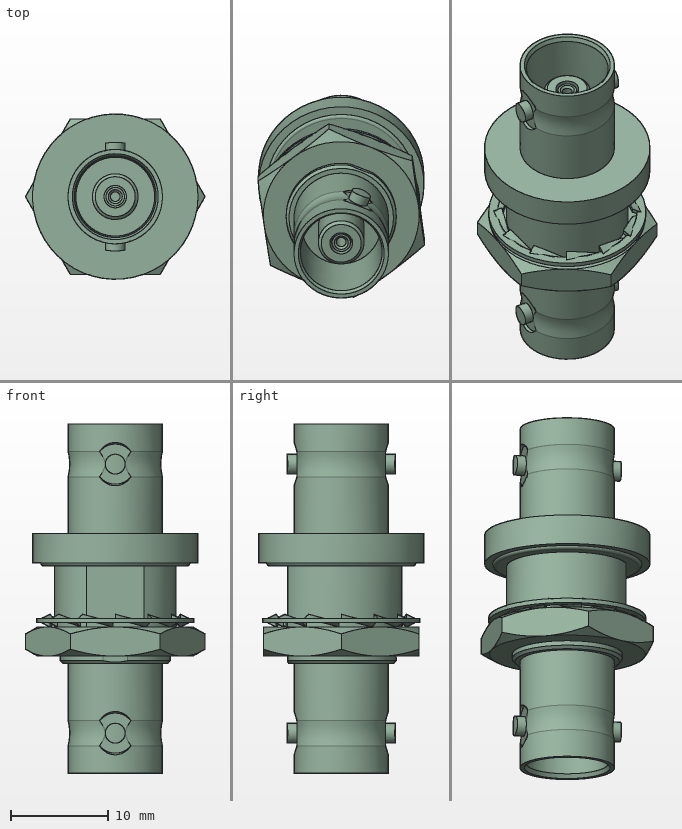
import cadquery as cq
import math


total_length = 35.9
barrel_radius = 4.85

flange_radius = 8.5
flange_bottom = 21.62
flange_top = 24.65
lip_radius = 7.67
lip_height = 0.32

thread_radius = 6.25
thread_flat_offset = 5.52
thread_end_radius = 5.66
thread_end_z = 11.27
thread_end_chamfer = 0.3

nut_across_flats = 16.0
nut_bottom = 12.04
nut_top = 15.04
nut_chamfer_angle = 30.0
nut_sides = 6

washer_outer_radius = 8.08
washer_inner_radius = 7.15
washer_bottom = 15.48
washer_thickness = 0.45
tooth_count = 12
tooth_inner_distance = 6.5
tooth_half_angle = 14.0
tooth_rise = 0.42
tooth_overlap = 0.3
tooth_root_thickness = 0.35
tooth_bite = 0.02

stud_depth = 4.13
stud_radius = 1.02
stud_tip_radius = 5.58
groove_half_width = 1.3
groove_depth = 0.16
spot_face_radius = 2.06
spot_face_wall_angle = 30.0
spot_face_offset = 4.57

mouth_radius = 4.41
mouth_chamfer_depth = 0.45
bore_top_radius = 4.2
bore_floor_radius = 4.05
bore_depth = 8.5
insulator_radius = 2.35
insulator_face_radius = 2.05
insulator_chamfer_height = 0.3
insulator_face_depth = 3.2
contact_recess_radius = 1.15
contact_recess_depth = 2.0
contact_radius = 0.95
contact_face_drop = 0.2
contact_hole_radius = 0.5
contact_mouth_radius = 0.72
contact_countersink = 0.22
contact_hole_depth = 5.0


def disc(radius, z_low, z_high):
    return cq.Workplane("XY").workplane(offset=z_low).circle(radius).extrude(z_high - z_low)


def revolve_profile(points):
    """Revolve a closed (radius, z) outline around the Z axis."""
    return cq.Workplane("XZ").polyline(points).close().revolve(360, (0, 0, 0), (0, 1, 0))


def make_flange():
    lip_bottom = flange_bottom - lip_height
    corner = lip_height * math.sqrt(0.5)
    lip_flat_radius = lip_radius - lip_height
    lip = (
        cq.Workplane("XZ")
        .moveTo(0, flange_bottom)
        .lineTo(lip_radius, flange_bottom)
        .threePointArc((lip_flat_radius + corner, flange_bottom - corner), (lip_flat_radius, lip_bottom))
        .lineTo(0, lip_bottom)
        .close()
        .revolve(360, (0, 0, 0), (0, 1, 0))
    )
    return disc(flange_radius, flange_bottom, flange_top).union(lip)


def make_threaded_body():
    body = disc(thread_radius, nut_bottom, flange_bottom)
    end = disc(thread_end_radius, thread_end_z, nut_bottom).faces("<Z").chamfer(thread_end_chamfer)
    body = body.union(end)
    keep = cq.Workplane("XY").box(
        2 * flange_radius,
        flange_radius + thread_flat_offset,
        total_length,
        centered=(True, False, False),
    )
    return body.intersect(keep.translate((0, -thread_flat_offset, 0)))


def make_nut():
    height = nut_top - nut_bottom
    flat_radius = nut_across_flats / 2
    corner_radius = flat_radius / math.cos(math.pi / nut_sides)
    drop = (corner_radius - flat_radius) * math.tan(math.radians(nut_chamfer_angle))
    hexagon = cq.Workplane("XY").workplane(offset=nut_bottom)
    hexagon = hexagon.polygon(nut_sides, 2 * corner_radius).extrude(height)
    envelope = revolve_profile([
        (0, nut_bottom),
        (flat_radius, nut_bottom),
        (corner_radius, nut_bottom + drop),
        (corner_radius, nut_top - drop),
        (flat_radius, nut_top),
        (0, nut_top),
    ])
    return hexagon.intersect(envelope)


def make_washer_tooth():
    """One tooth on the -Y side, flat at the ring and twisted at its inner edge."""
    outer_distance = washer_inner_radius + tooth_overlap
    washer_top = washer_bottom + washer_thickness
    half_slope = math.tan(math.radians(tooth_half_angle))
    inner_half = tooth_inner_distance * half_slope
    outer_half = outer_distance * half_slope
    inner_low = nut_top - tooth_bite
    root_low = washer_bottom + (washer_thickness - tooth_root_thickness) / 2
    root_high = root_low + tooth_root_thickness
    return (
        cq.Workplane("XZ", origin=(0, -tooth_inner_distance, 0))
        .polyline([
            (-inner_half, washer_bottom + tooth_rise),
            (inner_half, inner_low),
            (inner_half, washer_top - tooth_rise),
            (-inner_half, washer_top + tooth_rise),
        ])
        .close()
        .workplane(offset=outer_distance - tooth_inner_distance)
        .polyline([
            (-outer_half, root_low),
            (outer_half, root_low),
            (outer_half, root_high),
            (-outer_half, root_high),
        ])
        .close()
        .loft(ruled=True)
    )


def make_washer():
    washer_top = washer_bottom + washer_thickness
    ring = disc(washer_outer_radius, washer_bottom, washer_top)
    ring = ring.cut(disc(washer_inner_radius, washer_bottom, washer_top))
    tooth = make_washer_tooth().rotate((0, 0, 0), (0, 0, 1), tooth_half_angle)
    for index in range(tooth_count):
        ring = ring.union(tooth.rotate((0, 0, 0), (0, 0, 1), index * 360 / tooth_count))
    return ring


def cut_bayonet_groove(barrel, z):
    groove = (
        cq.Workplane("XZ")
        .moveTo(barrel_radius, z - groove_half_width)
        .threePointArc((barrel_radius - groove_depth, z), (barrel_radius, z + groove_half_width))
        .lineTo(flange_radius, z + groove_half_width)
        .lineTo(flange_radius, z - groove_half_width)
        .close()
        .revolve(360, (0, 0, 0), (0, 1, 0))
    )
    return barrel.cut(groove)


def cut_spot_faces(barrel, z):
    """Cut flats on both sides, sunk with a flaring conical wall."""
    cutter_end = barrel_radius + groove_depth
    for side in (-1, 1):
        cutter = (
            cq.Workplane("XZ", origin=(0, side * spot_face_offset, z))
            .circle(spot_face_radius)
            .extrude(-side * (cutter_end - spot_face_offset), taper=-spot_face_wall_angle)
        )
        barrel = barrel.cut(cutter)
    return barrel


def make_studs(z):
    """Both studs as one cross bar whose ends are rounded about the Z axis."""
    bar = cq.Workplane("XZ", origin=(0, 0, z)).circle(stud_radius).extrude(flange_radius, both=True)
    return bar.intersect(disc(stud_tip_radius, z - 2 * stud_radius, z + 2 * stud_radius))


def make_socket_cavity():
    """Void of the upper socket; its insulator and contact are left standing."""
    mouth = total_length
    floor = mouth - bore_depth
    face = mouth - insulator_face_depth
    recess_floor = face - contact_recess_depth
    contact_face = face - contact_face_drop
    bore = revolve_profile([
        (0, mouth),
        (mouth_radius, mouth),
        (bore_top_radius, mouth - mouth_chamfer_depth),
        (bore_floor_radius, floor),
        (insulator_radius, floor),
        (insulator_radius, face - insulator_chamfer_height),
        (insulator_face_radius, face),
        (0, face),
    ])
    contact_void = revolve_profile([
        (0, face),
        (contact_recess_radius, face),
        (contact_recess_radius, recess_floor),
        (contact_radius, recess_floor),
        (contact_radius, contact_face),
        (contact_mouth_radius, contact_face),
        (contact_hole_radius, contact_face - contact_countersink),
        (contact_hole_radius, contact_face - contact_hole_depth),
        (0, contact_face - contact_hole_depth),
    ])
    return bore.union(contact_void)


def make_barrel():
    barrel = disc(barrel_radius, 0, total_length)
    stud_heights = (stud_depth, total_length - stud_depth)
    for z in stud_heights:
        barrel = cut_bayonet_groove(barrel, z)
        barrel = cut_spot_faces(barrel, z)
        barrel = barrel.union(make_studs(z))
    return barrel


def cut_sockets(part):
    upper = make_socket_cavity()
    middle = (0, 0, total_length / 2)
    lower = upper.rotate(middle, (1, 0, total_length / 2), 180)
    return part.cut(upper).cut(lower)


adapter = make_barrel()
for piece in (make_flange(), make_threaded_body(), make_nut(), make_washer()):
    adapter = adapter.union(piece)

result = cut_sockets(adapter)